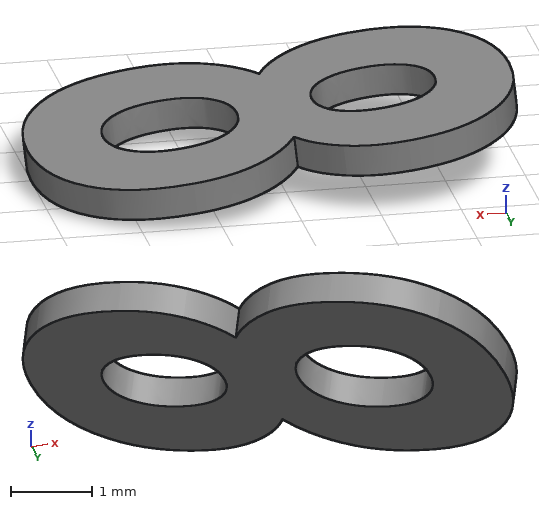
import cadquery as cq

LENGTH = 6.085
THICKNESS = 0.4
TILT = 6.65

SMALL_HALF_HEIGHT = 1.88
LARGE_HALF_HEIGHT = 4.0 / 2
WAIST_HALF_HEIGHT = 1.1

SMALL_CREST = 1.645
WAIST = 2.935
LARGE_CREST = 4.38

SMALL_HOLE = (0.945, 2.49, 0.695)
LARGE_HOLE = (3.44, 5.13, 0.815)
HOLE_ROUNDNESS = 0.45

SMALL_END_CONTROLS = [(0, 0.85), (0.91, SMALL_HALF_HEIGHT)]
SMALL_WAIST_CONTROLS = [(2.09, SMALL_HALF_HEIGHT), (2.76, 1.45)]
LARGE_WAIST_CONTROLS = [(3.155, 1.51), (3.89, LARGE_HALF_HEIGHT)]
LARGE_END_CONTROLS = [(5.17, LARGE_HALF_HEIGHT), (LENGTH, 0.92)]


def curve_pair(wire, start, controls, end):
    """Add two smoothly joined quadratic curves meeting midway between the controls."""
    first, second = controls
    joint = ((first[0] + second[0]) / 2, (first[1] + second[1]) / 2)
    return wire.bezier([start, first, joint]).bezier([joint, second, end])


def mirrored(point):
    """Reflect a point across the plate's long axis."""
    return (point[0], -point[1])


def symmetric_prism(ends, control_pairs):
    """Extrude an upper half outline together with its mirror image."""
    wire = cq.Workplane("XY").moveTo(*ends[0])
    for start, controls, end in zip(ends, control_pairs, ends[1:]):
        wire = curve_pair(wire, start, controls, end)

    lower_ends = [mirrored(point) for point in reversed(ends)]
    lower_pairs = [[mirrored(second), mirrored(first)] for first, second in reversed(control_pairs)]
    for start, controls, end in zip(lower_ends, lower_pairs, lower_ends[1:]):
        wire = curve_pair(wire, start, controls, end)
    return wire.close().extrude(THICKNESS)


def hole_prism(left, right, half_height):
    """Rounded hole, slightly squarer than an ellipse."""
    middle = (left + right) / 2
    reach_x = HOLE_ROUNDNESS * (right - left) / 2
    reach_y = HOLE_ROUNDNESS * half_height
    ends = [(left, 0), (middle, half_height), (right, 0)]
    control_pairs = [
        [(left, reach_y), (middle - reach_x, half_height)],
        [(middle + reach_x, half_height), (right, reach_y)],
    ]
    return symmetric_prism(ends, control_pairs)


outline_ends = [
    (0, 0),
    (SMALL_CREST, SMALL_HALF_HEIGHT),
    (WAIST, WAIST_HALF_HEIGHT),
    (LARGE_CREST, LARGE_HALF_HEIGHT),
    (LENGTH, 0),
]
outline_controls = [
    SMALL_END_CONTROLS,
    SMALL_WAIST_CONTROLS,
    LARGE_WAIST_CONTROLS,
    LARGE_END_CONTROLS,
]
plate = symmetric_prism(outline_ends, outline_controls)

for hole in (SMALL_HOLE, LARGE_HOLE):
    plate = plate.cut(hole_prism(*hole))

result = plate.translate((-LENGTH / 2, 0, -THICKNESS / 2)).rotate((0, 0, 0), (0, 1, 0), TILT)